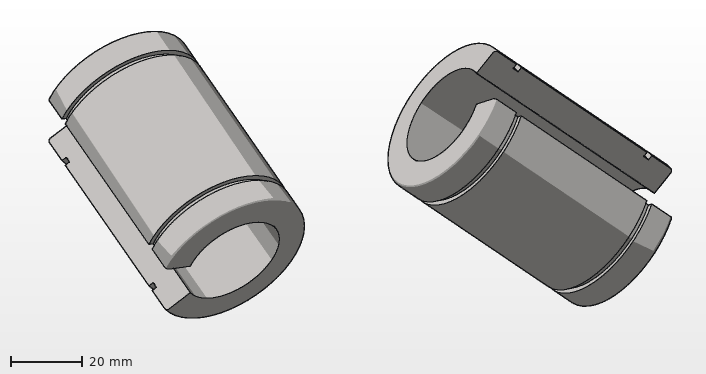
import cadquery as cq
import math

length = 68.0
outer_diameter = 47.0
bore_diameter = 30.0
edge_fillet = 1.0

groove_width = 1.85
groove_diameter = 44.0
groove_outer_span = 51.7

opening_angle = 49.5

cut_reach = outer_diameter


def make_cylinder(diameter):
    """Full-length cylinder along X, centred on the origin."""
    return cq.Workplane("YZ").circle(diameter / 2).extrude(length / 2, both=True)


def make_sleeve():
    """Bored cylinder with rounded outer end edges."""
    rounded = make_cylinder(outer_diameter).faces("<X or >X").edges().fillet(edge_fillet)
    return rounded.cut(make_cylinder(bore_diameter))


def make_groove(x_center):
    """Ring of material removed for one retaining-ring groove."""
    return (
        cq.Workplane("YZ", origin=(x_center - groove_width / 2, 0, 0))
        .circle(cut_reach)
        .circle(groove_diameter / 2)
        .extrude(groove_width)
    )


def make_opening():
    """Wedge with its apex on the bore axis, reaching past the outer surface on -Y."""
    half_height = cut_reach * math.tan(math.radians(opening_angle / 2))
    return (
        cq.Workplane("YZ")
        .polyline([(0, 0), (-cut_reach, half_height), (-cut_reach, -half_height)])
        .close()
        .extrude(length / 2, both=True)
    )


groove_offset = (groove_outer_span - groove_width) / 2

result = make_sleeve()
for side in (-1, 1):
    result = result.cut(make_groove(side * groove_offset))
result = result.cut(make_opening())